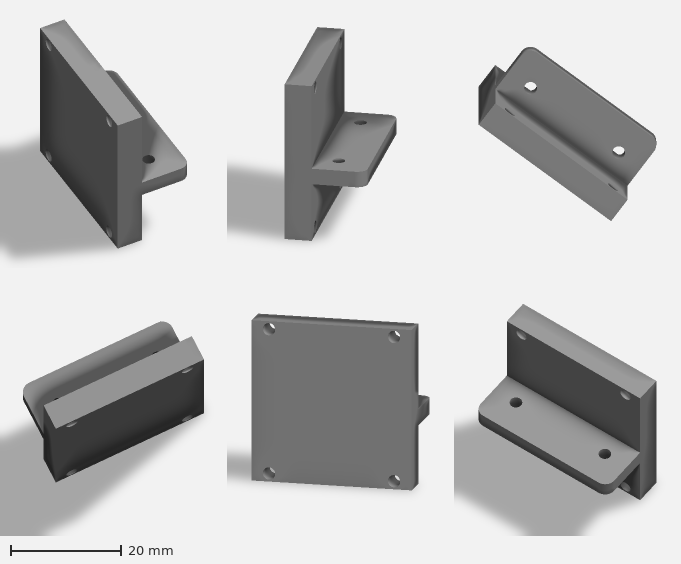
import cadquery as cq

plate_size = 30.0
plate_thickness = 5.0

shelf_length = 10.0
shelf_thickness = 3.0
shelf_top_z = -1.0
shelf_corner_radius = 2.0

hole_diameter = 2.3
plate_hole_spacing_x = 23.4
plate_hole_spacing_z = 27.0
shelf_hole_spacing = 20.0
shelf_hole_from_plate = 4.0


def make_plate():
    """Square plate with a hole near each corner."""
    plate = cq.Workplane("XY").box(
        plate_size, plate_thickness, plate_size, centered=(True, False, True)
    )
    return (
        plate.faces("<Y")
        .workplane(origin=(0, 0, 0))
        .rect(plate_hole_spacing_x, plate_hole_spacing_z, forConstruction=True)
        .vertices()
        .hole(hole_diameter)
    )


def make_shelf():
    """Full-width shelf with rounded free corners and two vertical holes."""
    shelf = (
        cq.Workplane("XY")
        .box(plate_size, shelf_length, shelf_thickness, centered=(True, False, False))
        .translate((0, plate_thickness, shelf_top_z - shelf_thickness))
        .edges("|Z and >Y")
        .fillet(shelf_corner_radius)
    )
    hole_y = plate_thickness + shelf_hole_from_plate
    return (
        shelf.faces(">Z")
        .workplane(origin=(0, hole_y, 0))
        .pushPoints([(side * shelf_hole_spacing / 2, 0) for side in (-1, 1)])
        .hole(hole_diameter)
    )


result = make_plate().union(make_shelf())